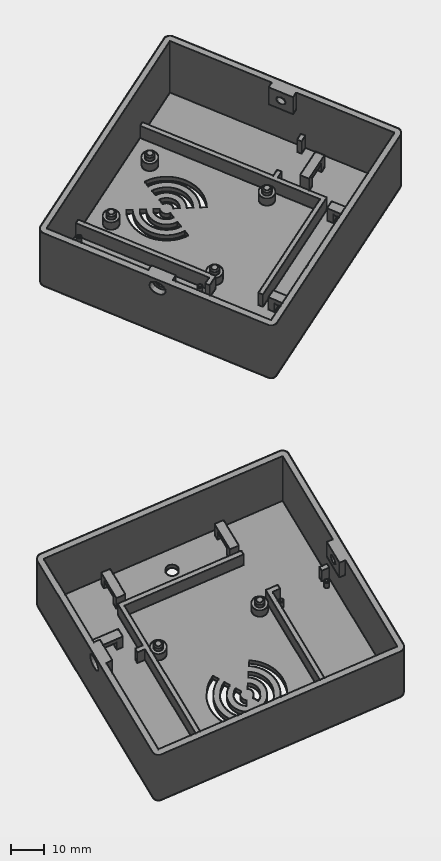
import cadquery as cq
import math

length = 79.5
width = 84.0
height = 27.0
wall = 2.0
edge_radius = 2.0

lug_x = 40.3
lug_size = 8.2
lug_depth = 2.0
screw_diameter = 3.0
screw_head_diameter = 5.4
screw_head_depth = 2.0

rib = 1.5
rib_height = 6.0
upper_rib_y = 62.6
upper_rib_end = 64.0
lower_rib_y = 21.0
lower_rib_end = 48.3
side_rib_start = 22.7
stub_length = 2.5
upper_stub_x = 46.0

bridge_length = 10.1
bridge_width = 3.0
bridge_height = 6.0
bridge_thickness = 2.0
side_bridge_x = 65.9
side_bridge_rows = (22.5, 60.5)
rear_bridge_x = 53.0
rear_bridge_y = 67.95

reader_y = 42.5
standoff_pairs = ((9.2, 12.5), (46.3, 17.0))
standoff_diameter = 5.0
standoff_height = 3.5
peg_diameter = 3.0
peg_height = 2.0
peg_chamfer = 0.5

pin_columns = (4.0, 44.7)
pin_rows = (3.95, 19.15)
pin_diameter = 1.6
pin_height = 3.0
pin_chamfer = 0.3

grille_x = 21.3
grille_step = 2.0
grille_slots = 3
grille_start_angle = 30
grille_end_angle = 150
floor_hole_x = 70.6
floor_hole_diameter = 4.0


def box(x, y, z, dx, dy, dz):
    """Block from its lowest corner and its sizes."""
    return cq.Workplane("XY").box(dx, dy, dz, centered=False).translate((x, y, z))


def floor_block(x, y, dx, dy, dz):
    """Block standing on the floor."""
    return box(x, y, wall, dx, dy, dz)


def cylinder(x, y, z, diameter, depth):
    """Upright cylinder from the centre of its lower face."""
    return cq.Workplane("XY").circle(diameter / 2).extrude(depth).translate((x, y, z))


def make_shell():
    outer = box(0, 0, 0, length, width, height)
    outer = outer.edges("|Z").fillet(edge_radius)
    outer = outer.faces("<Z").edges().fillet(edge_radius)
    return outer.cut(box(wall, wall, wall, length - 2 * wall, width - 2 * wall, height))


def make_lugs():
    x = lug_x - lug_size / 2
    z = height - lug_size
    front = box(x, wall, z, lug_size, lug_depth, lug_size)
    rear = box(x, width - wall - lug_depth, z, lug_size, lug_depth, lug_size)
    return front.union(rear)


def make_screw_holes():
    """Screw holes along Y through both lugs, each with a recess for the head."""
    screw_z = height - lug_size / 2

    def bore(y, diameter, depth):
        plane = cq.Plane(origin=(lug_x, y, screw_z), xDir=(1, 0, 0), normal=(0, 1, 0))
        return cq.Workplane(plane).circle(diameter / 2).extrude(depth)

    holes = bore(0, screw_diameter, width)
    holes = holes.union(bore(0, screw_head_diameter, screw_head_depth))
    return holes.union(bore(width - screw_head_depth, screw_head_diameter, screw_head_depth))


def make_ribs():
    upper_top = upper_rib_y + rib
    lower_stub_x = lower_rib_end - rib
    ribs = floor_block(wall, upper_rib_y, upper_rib_end - wall, rib, rib_height)
    side_length = upper_top - side_rib_start
    ribs = ribs.union(floor_block(upper_rib_end - rib, side_rib_start, rib, side_length, rib_height))
    ribs = ribs.union(floor_block(wall, lower_rib_y, lower_rib_end - wall, rib, rib_height))
    stubs = (
        (upper_stub_x, upper_top),
        (upper_stub_x, width - wall - stub_length),
        (lower_stub_x, lower_rib_y - stub_length),
        (lower_stub_x, wall),
    )
    for x, y in stubs:
        ribs = ribs.union(floor_block(x, y, rib, stub_length, rib_height))
    return ribs


def make_bridge(x, y, dx, dy):
    """Arch whose opening runs across its longer side."""
    block = floor_block(x, y, dx, dy, bridge_height)
    opening_height = bridge_height - bridge_thickness
    if dx > dy:
        opening = floor_block(x + bridge_thickness, y, dx - 2 * bridge_thickness, dy, opening_height)
    else:
        opening = floor_block(x, y + bridge_thickness, dx, dy - 2 * bridge_thickness, opening_height)
    return block.cut(opening)


def make_bridges():
    bridges = make_bridge(rear_bridge_x, rear_bridge_y, bridge_width, bridge_length)
    for y in side_bridge_rows:
        bridges = bridges.union(make_bridge(side_bridge_x, y, bridge_length, bridge_width))
    return bridges


def make_standoff(x, y):
    post = cylinder(x, y, wall, standoff_diameter, standoff_height)
    peg = cylinder(x, y, wall + standoff_height, peg_diameter, peg_height)
    return post.union(peg.faces(">Z").edges().chamfer(peg_chamfer))


def make_pin(x, y):
    return cylinder(x, y, wall, pin_diameter, pin_height).faces(">Z").edges().chamfer(pin_chamfer)


def make_grille_slot(inner_radius, start_angle, end_angle):
    """Ring sector through the floor, centred on the grille."""
    outer_radius = inner_radius + grille_step

    def point(radius, angle):
        turn = math.radians(angle)
        return (radius * math.cos(turn), radius * math.sin(turn))

    middle_angle = (start_angle + end_angle) / 2
    sector = (
        cq.Workplane("XY")
        .moveTo(*point(inner_radius, start_angle))
        .lineTo(*point(outer_radius, start_angle))
        .threePointArc(point(outer_radius, middle_angle), point(outer_radius, end_angle))
        .lineTo(*point(inner_radius, end_angle))
        .threePointArc(point(inner_radius, middle_angle), point(inner_radius, start_angle))
        .close()
        .extrude(wall)
    )
    return sector.translate((grille_x, reader_y, 0))


result = make_shell().union(make_lugs()).cut(make_screw_holes())
result = result.union(make_ribs()).union(make_bridges())

for standoff_x, half_spacing in standoff_pairs:
    for side in (-1, 1):
        result = result.union(make_standoff(standoff_x, reader_y + side * half_spacing))

for pin_x in pin_columns:
    for pin_y in pin_rows:
        result = result.union(make_pin(pin_x, pin_y))

for slot in range(grille_slots):
    slot_radius = grille_step * (1 + 2 * slot)
    for half_turn in (0, 180):
        start = grille_start_angle + half_turn
        end = grille_end_angle + half_turn
        result = result.cut(make_grille_slot(slot_radius, start, end))

result = result.cut(cylinder(floor_hole_x, reader_y, 0, floor_hole_diameter, wall))